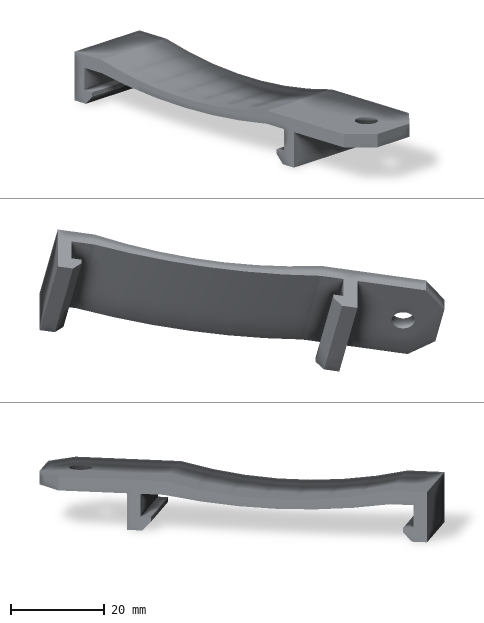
import cadquery as cq

length = 85.5
width = 20.0
height = 11.0
thickness = 3.0

dip_start = 8.0
dip_end = 57.45
top_sag = 3.0
bottom_sag = 2.05

leg_span = 65.5
leg_thickness = 3.0
foot_width = 3.3
hook_reach = 5.2
hook_height = 3.0
hook_tip_height = 1.0

corner_chamfer = 5.05
hole_diameter = 5.0
hole_from_end = 8.0


def make_plate():
    """Flat plate with its top at Z = 0 and a shallow arc dip between the legs."""
    dip_middle = (dip_start + dip_end) / 2
    plate = (
        cq.Workplane("XZ")
        .lineTo(dip_start, 0)
        .threePointArc((dip_middle, -top_sag), (dip_end, 0))
        .lineTo(length, 0)
        .lineTo(length, -thickness)
        .lineTo(dip_end, -thickness)
        .threePointArc((dip_middle, -thickness - bottom_sag), (dip_start, -thickness))
        .lineTo(0, -thickness)
        .close()
        .extrude(width / 2, both=True)
    )
    return plate.edges("|Z and >X").chamfer(corner_chamfer)


def make_leg(outer_x, inward):
    """Leg with its outer face at outer_x; inward is the X sign of its hook."""
    hook_top = hook_height - height
    profile = [
        (0, 0),
        (0, -height),
        (foot_width, -height),
        (hook_reach, hook_top - hook_tip_height),
        (hook_reach, hook_top),
        (leg_thickness, hook_top),
        (leg_thickness, 0),
    ]
    points = [(outer_x + inward * x, z) for x, z in profile]
    return cq.Workplane("XZ").polyline(points).close().extrude(width / 2, both=True)


def make_hole():
    """Through hole on the centre line of the tab."""
    return (
        cq.Workplane("XY")
        .center(length - hole_from_end, 0)
        .circle(hole_diameter / 2)
        .extrude(-thickness)
    )


left_leg = make_leg(0, 1)
right_leg = make_leg(leg_span, -1)
result = make_plate().union(left_leg).union(right_leg).cut(make_hole())